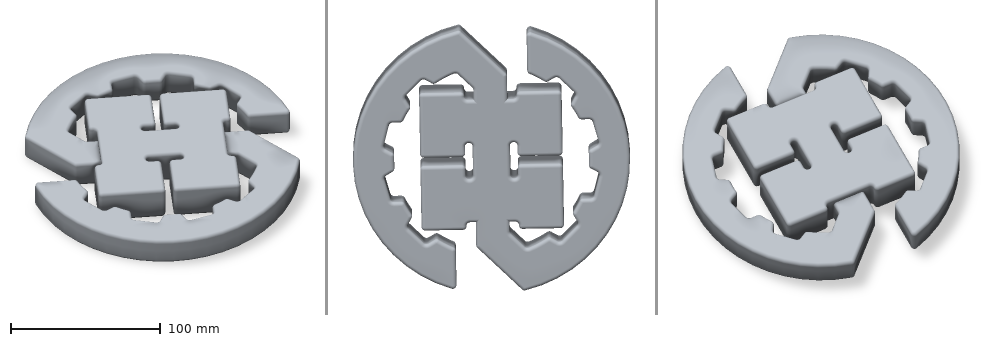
import cadquery as cq
import math

ring_radius = 92.5
ring_height = 20.0
plate_height = 25.0
slot_width = 5.0
edge_radius = slot_width / 2

bore_radius = 65.0
gap_offset = 25.0
notch_floor = 72.3
notch_floor_width = 18.0
notch_taper = 15.0
notch_pitch = 30.0
notch_count = 4

hook_top = 50.0
hook_width = 22.5
hook_root = 33.3

plate_size = 95.0
plate_turn = 45.0
recess_width = 35.0
recess_depth = 5.2
slit_width = 5.5
slot_offset = 15.0
slot_length = 25.0
tolerance = 0.02


def round_rims(body):
    """Round every edge around the top and bottom faces."""
    return body.faces("<Z or >Z").edges().fillet(edge_radius)


def diagonal(along, across):
    """Point measured along the line X = Y and square to it."""
    return ((along - across) / math.sqrt(2), (along + across) / math.sqrt(2))


def turned(body, angle):
    return body.rotate((0, 0, 0), (0, 0, 1), angle)


def make_notch():
    """Tapered notch cutter on the +X axis, starting inside the bore."""
    start = bore_radius - 2 * edge_radius
    floor_half = notch_floor_width / 2
    start_half = floor_half + (notch_floor - start) * math.tan(math.radians(notch_taper))
    outline = [
        (start, -start_half),
        (notch_floor, -floor_half),
        (notch_floor, floor_half),
        (start, start_half),
    ]
    return cq.Workplane("XY").polyline(outline).close().extrude(ring_height)


def make_claw():
    """Claw on the +X side, with its hook reaching back to the plate."""
    reach = 2 * ring_radius
    hook_bottom = hook_top - hook_width
    hook_half = hook_width / 2
    outer_corner = (hook_top - hook_half * math.sqrt(2), hook_top)
    inner_corner = (hook_bottom + hook_half * math.sqrt(2), hook_bottom)

    disc = cq.Workplane("XY").circle(ring_radius).extrude(ring_height)
    bore = cq.Workplane("XY").circle(bore_radius).extrude(ring_height)
    sector_outline = [
        diagonal(-reach, -gap_offset),
        diagonal(0, -gap_offset),
        outer_corner,
        (reach, hook_top),
        (reach, -reach),
    ]
    sector = cq.Workplane("XY").polyline(sector_outline).close().extrude(ring_height)
    claw = disc.cut(bore).intersect(sector)
    for index in range(notch_count):
        claw = claw.cut(turned(make_notch(), -index * notch_pitch))

    hook_outline = [
        diagonal(hook_root, hook_half),
        outer_corner,
        (bore_radius, hook_top),
        (bore_radius, hook_bottom),
        inner_corner,
        diagonal(hook_root, -hook_half),
    ]
    hook = cq.Workplane("XY").polyline(hook_outline).close().extrude(ring_height)
    return round_rims(claw.union(hook).edges("|Z").fillet(edge_radius))


def on_slot_end(edge):
    """True where a straight slot wall runs into a round slot end."""
    arc_start = (slot_length - slot_width) / 2
    centre = edge.Center()
    in_slot = abs(centre.y) < slot_offset + slot_width
    return in_slot and abs(abs(centre.x) - arc_start) < tolerance


def make_plate():
    """Square plate with a recess on two sides and a T-shaped slot on the other two."""
    half = plate_size / 2
    plate = cq.Workplane("XY").rect(plate_size, plate_size).extrude(plate_height)
    for side in (-1, 1):
        recess = (
            cq.Workplane("XY")
            .center(side * half, 0)
            .rect(2 * recess_depth, recess_width)
            .extrude(plate_height)
        )
        slit = (
            cq.Workplane("XY")
            .center(0, side * (slot_offset + half) / 2)
            .rect(slit_width, half - slot_offset)
            .extrude(plate_height)
        )
        slot = (
            cq.Workplane("XY")
            .center(0, side * slot_offset)
            .slot2D(slot_length, slot_width)
            .extrude(plate_height)
        )
        plate = plate.cut(recess).cut(slit).cut(slot)
    sharp_edges = plate.edges("|Z").filter(lambda edge: not on_slot_end(edge))
    return turned(round_rims(sharp_edges.fillet(edge_radius)), plate_turn)


claw = make_claw()
result = make_plate().union(claw).union(turned(claw, 180))